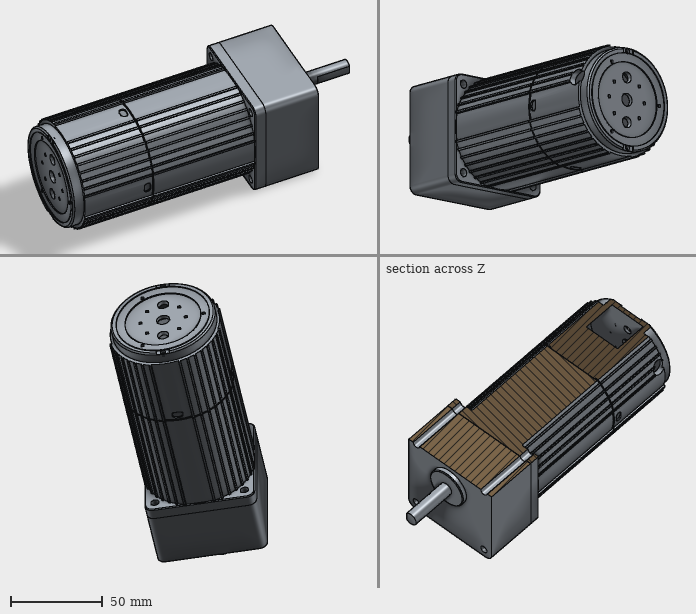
import cadquery as cq
import math

frame_width = 61.0
corner_radius = 4.5
gearbox_depth = 32.0
boss_diameter = 24.1
boss_height = 3.0
boss_chamfer = 0.5
shaft_diameter = 8.0
shaft_tip_y = 32.0
flat_length = 19.6
flat_offset = 3.0
shaft_height = 10.0

mount_hole_diameter = 4.5
mount_hole_offset = 24.8

flange_thickness = 6.5
flange_chamfer = 0.5
motor_length = 61.2
ribbed_cover_length = 41.8
cap_length = 6.5

flange_rear_y = -gearbox_depth - flange_thickness
motor_rear_y = flange_rear_y - motor_length
shoulder_y = motor_rear_y - ribbed_cover_length
cap_rear_y = shoulder_y - cap_length

smooth_radius = 30.5
rib_root_radius = 31.0
rib_tip_radius = 31.7
rib_width = 1.0
ribs_per_quarter = 8
rib_pitch_angle = 8.5
rib_span_angle = rib_pitch_angle * (ribs_per_quarter - 1)

seam_groove_width = 0.5
seam_groove_radius = 29.9
groove_rear_y = motor_rear_y - seam_groove_width

cavity_radius = 27.4
cavity_depth = 20.7
cap_radius = 29.0
cap_chamfer = 0.9
rim_inner_radius = 26.0
rim_recess_depth = 0.5
center_recess_radius = 21.0
center_recess_depth = 0.7
end_wall = 2.2
rim_floor_y = cap_rear_y + rim_recess_depth
center_floor_y = rim_floor_y + center_recess_depth
cavity_rear_y = center_floor_y + end_wall
cavity_front_y = cavity_rear_y + cavity_depth

axle_hole_diameter = 7.2
hole_circle_radius = 12.6
access_outer_diameter = 6.1
access_inner_diameter = 5.0
small_hole_diameter = 1.8
small_hole_depth = 1.5
drill_point_length = 0.5
outer_hole_circle_radius = 22.7
notch_width = 7.2
notch_depth = 0.7
notch_screw_radius = 27.2
notch_screw_diameter = 2.7
notch_screw_depth = 1.8

window_y = -103.7
window_length = 4.0
window_width = 6.1
window_floor_radius = 29.5
cable_hole_diameter = 9
cable_hole_y = -138.0
cable_hole_z = 9.9


def plane_at(y):
    """XZ plane at the given Y whose normal points toward -Y."""
    return cq.Workplane("XZ", origin=(0, y, 0))


def disc(radius, front_y, rear_y, height=0):
    """Round disc on the axis, or raised above it by the given height."""
    return plane_at(front_y).center(0, height).circle(radius).extrude(front_y - rear_y)


def square_bar(front_y, rear_y):
    return plane_at(front_y).rect(frame_width, frame_width).extrude(front_y - rear_y)


def rounded_square(front_y, rear_y):
    return square_bar(front_y, rear_y).edges("|Y").fillet(corner_radius)


def mount_holes(front_y, rear_y):
    spacing = 2 * mount_hole_offset
    holes = plane_at(front_y).rect(spacing, spacing, forConstruction=True).vertices()
    return holes.circle(mount_hole_diameter / 2).extrude(front_y - rear_y)


def polar_point(radius, angle):
    return radius * math.cos(math.radians(angle)), radius * math.sin(math.radians(angle))


def make_gearbox():
    """Gear case with its raised front boss and the flatted output shaft."""
    case = rounded_square(0, -gearbox_depth).cut(mount_holes(0, -gearbox_depth))
    boss = disc(boss_diameter / 2, boss_height, 0, shaft_height).faces(">Y").chamfer(boss_chamfer)
    shaft = disc(shaft_diameter / 2, shaft_tip_y, 0, shaft_height)
    flat_cut = cq.Workplane("XY").box(
        shaft_diameter, flat_length, shaft_diameter, centered=(False, False, True)
    )
    flat_cut = flat_cut.translate((flat_offset, shaft_tip_y - flat_length, shaft_height))
    return case.union(boss).union(shaft.cut(flat_cut))


def rib_zone(length):
    """Sector raised to the rib roots, centred on the +X axis."""
    half_span = rib_span_angle / 2
    start = polar_point(rib_root_radius, -half_span)
    end = polar_point(rib_root_radius, half_span)
    sector = plane_at(0).lineTo(*start).threePointArc((rib_root_radius, 0), end).close()
    return sector.extrude(length)


def rib(length):
    return plane_at(0).center(rib_tip_radius / 2, 0).rect(rib_tip_radius, rib_width).extrude(length)


def ribbed_cylinder(front_y, rear_y):
    """Cylinder with a rib zone on each diagonal, trimmed to the frame square."""
    length = front_y - rear_y
    body = disc(smooth_radius, 0, -length)
    zone = rib_zone(length)
    for index in range(ribs_per_quarter):
        angle = index * rib_pitch_angle - rib_span_angle / 2
        zone = zone.union(rib(length).rotate((0, 0, 0), (0, 1, 0), angle))
    for quarter in range(4):
        body = body.union(zone.rotate((0, 0, 0), (0, 1, 0), 45 + 90 * quarter))
    return body.intersect(square_bar(0, -length)).translate((0, front_y, 0))


def make_motor():
    """Motor housing with the square flange that meets the gearbox."""
    flange = rounded_square(-gearbox_depth, flange_rear_y).faces("<Y").chamfer(flange_chamfer)
    flange = flange.cut(mount_holes(-gearbox_depth, flange_rear_y))
    return flange.union(ribbed_cylinder(flange_rear_y, motor_rear_y))


def window_recesses():
    """Shallow obround recesses in the middle of the four smooth sides."""
    slot = cq.Workplane("XY").center(0, window_y).slot2D(window_width, window_length).extrude(frame_width)
    slot = slot.cut(disc(window_floor_radius, motor_rear_y, shoulder_y))
    return [slot.rotate((0, 0, 0), (0, 1, 0), 90 * quarter) for quarter in range(4)]


def tapered_hole(point, outer_radius, inner_radius, face_y, depth):
    """Conical cutter that enters from -Y and narrows toward +Y."""
    base = cq.Vector(point[0], face_y, point[1])
    return cq.Workplane(cq.Solid.makeCone(outer_radius, inner_radius, depth, base, cq.Vector(0, 1, 0)))


def small_hole(point, face_y):
    """Blind drilled hole with a conical bottom."""
    radius = small_hole_diameter / 2
    floor_y = face_y + small_hole_depth
    hole = plane_at(floor_y).center(*point).circle(radius).extrude(small_hole_depth)
    return hole.union(tapered_hole(point, radius, 0, floor_y, drill_point_length))


def end_cap_holes():
    """Axle hole, two tapered access holes and the two rings of small holes."""
    access_outer_radius = access_outer_diameter / 2
    access_inner_radius = access_inner_diameter / 2
    holes = [disc(axle_hole_diameter / 2, cavity_rear_y, cap_rear_y)]
    for angle in (90, 270):
        point = polar_point(hole_circle_radius, angle)
        holes.append(tapered_hole(point, access_outer_radius, access_inner_radius, center_floor_y, end_wall))
    for angle in (0, 45, 135, 180, 225, 315):
        holes.append(small_hole(polar_point(hole_circle_radius, angle), center_floor_y))
    for angle in (0, 120, 240):
        holes.append(small_hole(polar_point(outer_hole_circle_radius, angle), rim_floor_y))
    return holes


def rim_notches():
    """Square notches across the rim at top and bottom, each with a screw hole."""
    notch_floor_y = cap_rear_y + notch_depth
    screw_floor_y = notch_floor_y + notch_screw_depth
    notch_height = cap_radius - rim_inner_radius
    cutters = []
    for side in (1, -1):
        notch = plane_at(notch_floor_y).center(0, side * (cap_radius - notch_height / 2))
        cutters.append(notch.rect(notch_width, notch_height).extrude(notch_depth))
        cutters.append(disc(notch_screw_diameter / 2, screw_floor_y, cap_rear_y, side * notch_screw_radius))
    return cutters


def cable_hole():
    """Hole from the -X side into the cavity."""
    hole = cq.Workplane("YZ", origin=(-frame_width, 0, 0)).center(cable_hole_y, cable_hole_z)
    return hole.circle(cable_hole_diameter / 2).extrude(frame_width)


def make_cover():
    """Rear cover with a cavity, an end cap, side recesses and a cable hole."""
    cap = disc(cap_radius, shoulder_y, cap_rear_y).faces("<Y").chamfer(cap_chamfer)
    cutters = [
        disc(cavity_radius, cavity_front_y, cavity_rear_y),
        disc(rim_inner_radius, rim_floor_y, cap_rear_y),
        disc(center_recess_radius, center_floor_y, cap_rear_y),
        cable_hole(),
        *window_recesses(),
        *end_cap_holes(),
        *rim_notches(),
    ]
    seam_lip = disc(seam_groove_radius, motor_rear_y, groove_rear_y)
    body = ribbed_cylinder(groove_rear_y, shoulder_y).union(seam_lip).union(cap)
    for cutter in cutters:
        body = body.cut(cutter)
    return body


gearbox = make_gearbox()
motor = make_motor()
cover = make_cover()
result = cq.Compound.makeCompound([gearbox.val(), motor.val(), cover.val()])